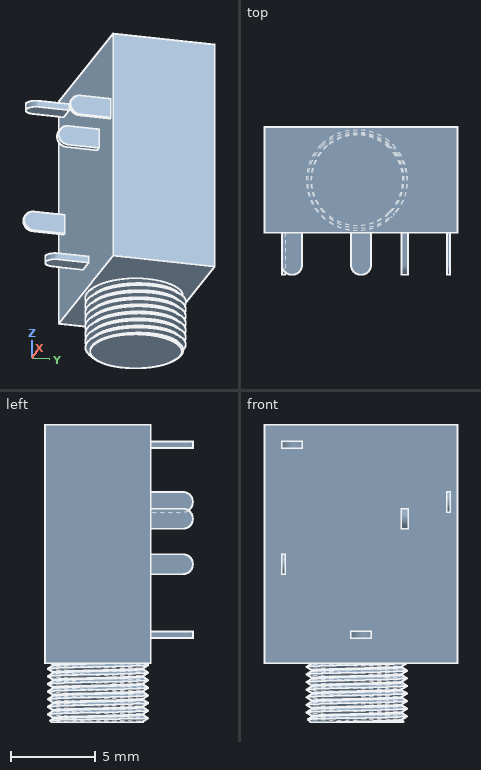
import cadquery as cq


HOUSING_WIDTH = 11.5
HOUSING_DEPTH = 6.3
HOUSING_HEIGHT = 14.2

SLEEVE_X = -0.25
SLEEVE_LENGTH = 3.5
THREAD_DIAMETER = 6.0
THREAD_DEPTH = 0.3
THREAD_PITCH = 0.452
RIDGE_GAP = 0.005
RIDGE_SINK = 0.05
TIP_CHAMFER = 0.25
ENVELOPE_MARGIN = 0.3
CREST_START_Z = -0.095

PIN_LENGTH = 2.5
PIN_WIDTH = 1.2
THICK_PIN = 0.4
THIN_PIN = 0.2

PINS_WIDE_IN_X = [
    (-4.1, 16.5, THICK_PIN),
    (0.0, 5.2, THICK_PIN),
]
PINS_WIDE_IN_Z = [
    (-4.6, 9.4, THIN_PIN),
    (5.2, 13.1, THIN_PIN),
    (2.6, 12.1, THICK_PIN),
]


def make_housing():
    return (
        cq.Workplane("XY", origin=(0, 0, SLEEVE_LENGTH))
        .rect(HOUSING_WIDTH, HOUSING_DEPTH)
        .extrude(HOUSING_HEIGHT)
    )


def make_thread_ridge(core_radius, crest_radius):
    """One right-handed V ridge that starts below the tip and ends above the sleeve."""
    start_z = CREST_START_Z - THREAD_PITCH
    helix_height = SLEEVE_LENGTH + 3 * THREAD_PITCH
    helix = cq.Wire.makeHelix(THREAD_PITCH, helix_height, core_radius).translate(cq.Vector(0, 0, start_z))
    half_base = (THREAD_PITCH - RIDGE_GAP) / 2
    base_radius = core_radius - RIDGE_SINK
    profile = (
        cq.Workplane("XZ")
        .moveTo(base_radius, start_z - half_base)
        .lineTo(crest_radius, start_z)
        .lineTo(base_radius, start_z + half_base)
        .close()
    )
    return profile.sweep(cq.Workplane(helix), isFrenet=True)


def make_sleeve():
    """Threaded sleeve with a chamfered tip, cut flush with the housing."""
    crest_radius = THREAD_DIAMETER / 2
    core_radius = crest_radius - THREAD_DEPTH
    core = cq.Workplane("XY").circle(core_radius).extrude(SLEEVE_LENGTH)
    envelope = (
        cq.Workplane("XY")
        .circle(crest_radius + ENVELOPE_MARGIN)
        .extrude(SLEEVE_LENGTH)
        .faces("<Z")
        .chamfer(TIP_CHAMFER + ENVELOPE_MARGIN)
    )
    ridge = make_thread_ridge(core_radius, crest_radius).intersect(envelope)
    return core.union(ridge).translate((SLEEVE_X, 0, 0)).solids()


def make_pin(x, z, thickness, wide_in_z):
    """Flat pin standing on the -Y face of the housing, with a fully rounded free end."""
    half_width = PIN_WIDTH / 2
    straight_length = PIN_LENGTH - half_width
    pin = (
        cq.Workplane("XY")
        .moveTo(-half_width, 0)
        .lineTo(-half_width, -straight_length)
        .threePointArc((0, -PIN_LENGTH), (half_width, -straight_length))
        .lineTo(half_width, 0)
        .close()
        .extrude(thickness / 2, both=True)
    )
    if wide_in_z:
        pin = pin.rotate((0, 0, 0), (0, 1, 0), 90)
    return pin.translate((x, -HOUSING_DEPTH / 2, z))


housing = make_housing()
sleeve = make_sleeve()
pins = [make_pin(x, z, thickness, False) for x, z, thickness in PINS_WIDE_IN_X]
pins += [make_pin(x, z, thickness, True) for x, z, thickness in PINS_WIDE_IN_Z]

result = cq.Compound.makeCompound([housing.val(), sleeve.val(), *[pin.val() for pin in pins]])